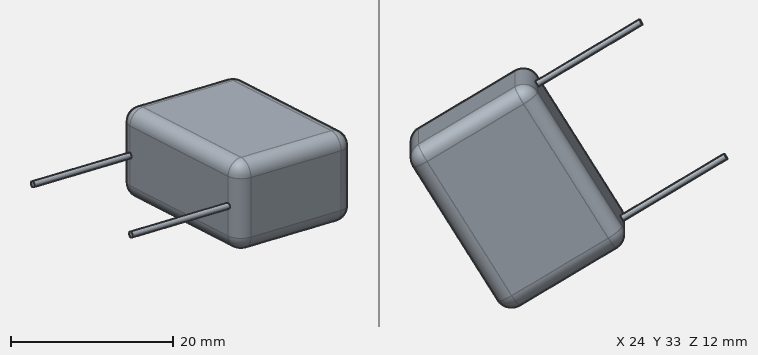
import cadquery as cq

overall_length = 33.0
body_width = 24.0
body_depth = 18.0
body_height = 12.0
edge_radius = 2.0

lead_spacing = 20.0
lead_diameter = 0.8
lead_length = overall_length - body_depth
lead_embed = edge_radius


def make_body():
    """Block centred on the origin with every edge rounded."""
    return cq.Workplane("XY").box(body_width, body_depth, body_height).edges().fillet(edge_radius)


def make_lead(x):
    """Round wire from inside the body out through its -Y face."""
    root_y = -body_depth / 2 + lead_embed
    return (
        cq.Workplane("XZ", origin=(x, root_y, 0))
        .circle(lead_diameter / 2)
        .extrude(lead_embed + lead_length)
    )


result = make_body()
for side in (-1, 1):
    result = result.union(make_lead(side * lead_spacing / 2))